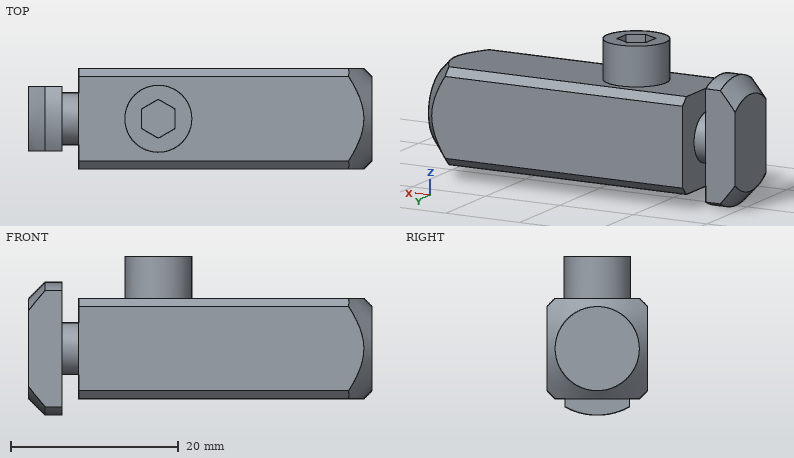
import cadquery as cq
import math

BAR_WIDTH = 12.0
BAR_LENGTH = 35.0
BAR_EDGE_CHAMFER = 1.0
END_FACE_RADIUS = BAR_WIDTH / 2 - BAR_EDGE_CHAMFER

HEAD_DIAMETER = 15.9
HEAD_WIDTH = 7.75
HEAD_THICKNESS = 4.0
HEAD_CHAMFER = 2.0
NECK_DIAMETER = 6.25
NECK_LENGTH = 41.0 - BAR_LENGTH - HEAD_THICKNESS

SCREW_DIAMETER = 8.0
SCREW_HEIGHT = 5.0
SCREW_FROM_BAR_FACE = 9.5
SOCKET_ACROSS_FLATS = 4.0
SOCKET_DEPTH = 4.0

BAR_START = HEAD_THICKNESS + NECK_LENGTH
BAR_END = BAR_START + BAR_LENGTH
SCREW_X = BAR_START + SCREW_FROM_BAR_FACE


def make_bar():
    """Square bar with chamfered long edges and a conically turned far end."""
    bar = (
        cq.Workplane("YZ", origin=(BAR_START, 0, 0))
        .rect(BAR_WIDTH, BAR_WIDTH)
        .extrude(BAR_LENGTH)
        .edges("|X")
        .chamfer(BAR_EDGE_CHAMFER)
    )
    envelope_radius = BAR_WIDTH
    envelope = (
        cq.Workplane("YZ", origin=(BAR_START, 0, 0))
        .circle(envelope_radius)
        .extrude(BAR_LENGTH)
        .faces(">X")
        .chamfer(envelope_radius - END_FACE_RADIUS)
    )
    return bar.intersect(envelope)


def make_hammer_bolt():
    """Chamfered disc cut to two parallel flats, with a round neck reaching the bar."""
    disc = (
        cq.Workplane("YZ")
        .circle(HEAD_DIAMETER / 2)
        .extrude(HEAD_THICKNESS)
        .faces("<X")
        .chamfer(HEAD_CHAMFER)
    )
    flats = cq.Workplane("YZ").rect(HEAD_WIDTH, HEAD_DIAMETER).extrude(HEAD_THICKNESS)
    neck = (
        cq.Workplane("YZ", origin=(HEAD_THICKNESS, 0, 0))
        .circle(NECK_DIAMETER / 2)
        .extrude(NECK_LENGTH)
    )
    return disc.intersect(flats).union(neck)


def make_clamping_screw():
    """Round screw head with a hexagon socket whose corners point along Y."""
    head = (
        cq.Workplane("XY", origin=(SCREW_X, 0, BAR_WIDTH / 2))
        .circle(SCREW_DIAMETER / 2)
        .extrude(SCREW_HEIGHT)
    )
    across_corners = SOCKET_ACROSS_FLATS / math.cos(math.radians(30))
    socket = (
        cq.Workplane("XY")
        .polygon(6, across_corners)
        .extrude(-SOCKET_DEPTH)
        .rotate((0, 0, 0), (0, 0, 1), 90)
        .translate((SCREW_X, 0, BAR_WIDTH / 2 + SCREW_HEIGHT))
    )
    return head.cut(socket)


bar = make_bar()
hammer_bolt = make_hammer_bolt()
clamping_screw = make_clamping_screw()

result = cq.Compound.makeCompound([bar.val(), hammer_bolt.val(), clamping_screw.val()])